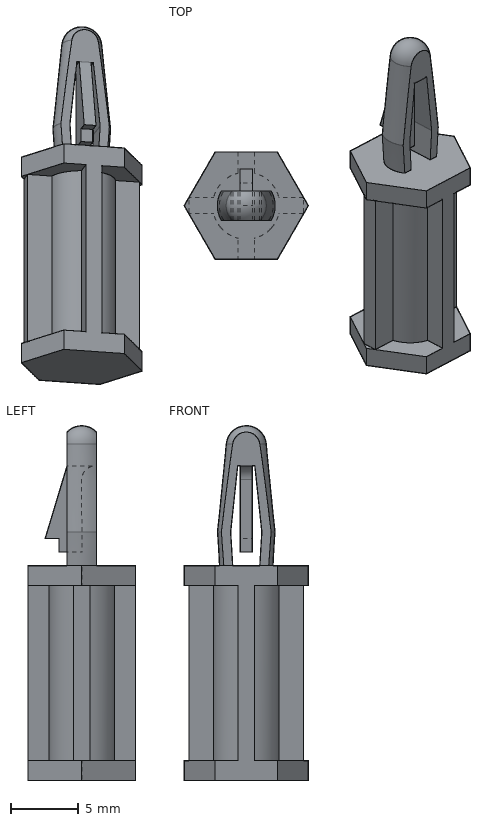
import cadquery as cq
import math

HEX_ACROSS_FLATS = 8.0
FLANGE_THICKNESS = 1.5
BODY_HEIGHT = 16.0
CORE_DIAMETER = 5.0
RIB_WIDTH = 1.2

TOTAL_HEIGHT = 26.4
DOME_RADIUS = 1.5
POST_THICKNESS = 2.2
POST_BASE_RADIUS = 2.0
POST_WIDEST_RADIUS = 2.15
WIDEST_Z = BODY_HEIGHT + 2.5

LEG_THICKNESS = 1.0
SLOT_TOP_Z = 23.4
SLOT_TOP_HALF_WIDTH = 0.63
SLOT_WIDEST_HALF_WIDTH = POST_WIDEST_RADIUS - LEG_THICKNESS
SLOT_BASE_HALF_WIDTH = POST_BASE_RADIUS - LEG_THICKNESS

TONGUE_WIDTH = 0.9
TONGUE_BOTTOM_Z = BODY_HEIGHT + 1.0
TONGUE_FRONT_Y = 0.0
TONGUE_ROOT_RADIUS = 1.0
BARB_Z = BODY_HEIGHT + 2.0
BARB_TIP_Y = 2.73
BARB_STEP_Y = 1.7

POST_BACK_Y = POST_THICKNESS / 2
HEX_ACROSS_CORNERS = HEX_ACROSS_FLATS / math.cos(math.radians(30))
RIB_HEIGHT = BODY_HEIGHT - 2 * FLANGE_THICKNESS
CORNER_RIB_LENGTH = HEX_ACROSS_CORNERS - RIB_WIDTH * math.tan(math.radians(30))


def make_flange(bottom_z):
    flange = cq.Workplane("XY").workplane(offset=bottom_z)
    return flange.polygon(6, HEX_ACROSS_CORNERS).extrude(FLANGE_THICKNESS)


def make_body():
    middle = cq.Workplane("XY").workplane(offset=FLANGE_THICKNESS)
    body = middle.circle(CORE_DIAMETER / 2).extrude(RIB_HEIGHT)
    body = body.union(middle.rect(CORNER_RIB_LENGTH, RIB_WIDTH).extrude(RIB_HEIGHT))
    body = body.union(middle.rect(RIB_WIDTH, HEX_ACROSS_FLATS).extrude(RIB_HEIGHT))
    for bottom_z in (0, BODY_HEIGHT - FLANGE_THICKNESS):
        body = body.union(make_flange(bottom_z))
    return body


def dome_point(center_z, angle):
    """Point (radius, z) on the dome at an elevation angle in radians."""
    return (DOME_RADIUS * math.cos(angle), center_z + DOME_RADIUS * math.sin(angle))


def make_post():
    """Tapered round post with a tangent dome, flattened front and back."""
    center_z = TOTAL_HEIGHT - DOME_RADIUS
    rise = center_z - WIDEST_Z
    distance = math.hypot(POST_WIDEST_RADIUS, rise)
    tangent_angle = math.acos(DOME_RADIUS / distance) - math.atan2(rise, POST_WIDEST_RADIUS)
    middle_angle = (tangent_angle + math.pi / 2) / 2
    post = (
        cq.Workplane("XZ")
        .moveTo(0, BODY_HEIGHT)
        .lineTo(POST_BASE_RADIUS, BODY_HEIGHT)
        .lineTo(POST_WIDEST_RADIUS, WIDEST_Z)
        .lineTo(*dome_point(center_z, tangent_angle))
        .threePointArc(dome_point(center_z, middle_angle), (0, TOTAL_HEIGHT))
        .close()
        .revolve(360, (0, 0, 0), (0, 1, 0))
    )
    slab = cq.Workplane("XY").box(2 * HEX_ACROSS_FLATS, POST_THICKNESS, 2 * TOTAL_HEIGHT)
    return post.intersect(slab)


def make_slot():
    return (
        cq.Workplane("XZ")
        .moveTo(-SLOT_BASE_HALF_WIDTH, BODY_HEIGHT)
        .lineTo(SLOT_BASE_HALF_WIDTH, BODY_HEIGHT)
        .lineTo(SLOT_WIDEST_HALF_WIDTH, WIDEST_Z)
        .lineTo(SLOT_TOP_HALF_WIDTH, SLOT_TOP_Z)
        .lineTo(-SLOT_TOP_HALF_WIDTH, SLOT_TOP_Z)
        .lineTo(-SLOT_WIDEST_HALF_WIDTH, WIDEST_Z)
        .close()
        .extrude(POST_THICKNESS, both=True)
    )


def make_tongue():
    """Barbed tongue with a rounded root, drawn in the YZ plane."""
    root_front_y = TONGUE_FRONT_Y - TONGUE_ROOT_RADIUS
    root_bottom_z = SLOT_TOP_Z - TONGUE_ROOT_RADIUS
    arc_offset = TONGUE_ROOT_RADIUS * math.sin(math.radians(45))
    arc_middle = (root_front_y + arc_offset, root_bottom_z + arc_offset)
    return (
        cq.Workplane("YZ")
        .moveTo(TONGUE_FRONT_Y, TONGUE_BOTTOM_Z)
        .lineTo(BARB_STEP_Y, TONGUE_BOTTOM_Z)
        .lineTo(BARB_STEP_Y, BARB_Z)
        .lineTo(BARB_TIP_Y, BARB_Z)
        .lineTo(POST_BACK_Y, SLOT_TOP_Z)
        .lineTo(root_front_y, SLOT_TOP_Z)
        .threePointArc(arc_middle, (TONGUE_FRONT_Y, root_bottom_z))
        .close()
        .extrude(TONGUE_WIDTH / 2, both=True)
    )


post = make_post().cut(make_slot()).union(make_tongue())
result = make_body().union(post)